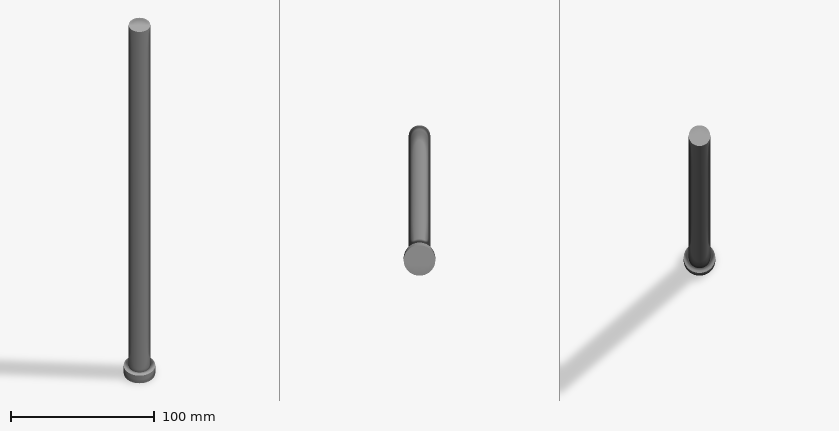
import cadquery as cq

overall_length = 322.0
head_diameter = 22.0
head_height = 7.0
shank_diameter = 15.0

shank_length = overall_length - head_height

head = cq.Workplane("XY").circle(head_diameter / 2).extrude(head_height)

result = head.faces(">Z").workplane().circle(shank_diameter / 2).extrude(shank_length)